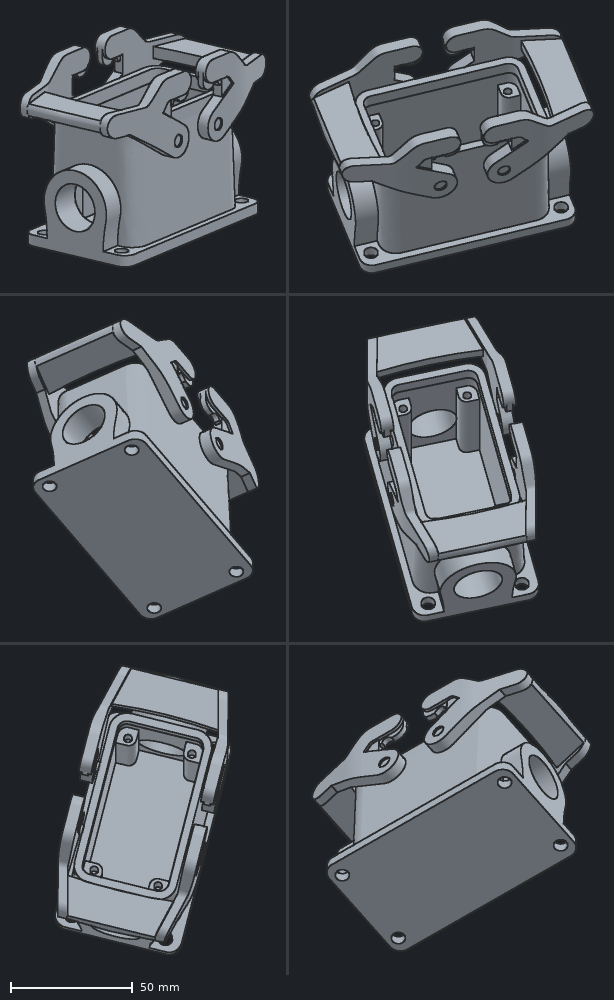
import cadquery as cq
import math

FLANGE_WIDTH = 53.5
FLANGE_LENGTH = 92.7
FLANGE_HEIGHT = 5.0
FLANGE_CORNER = 5.3
FLANGE_HOLE_DIAMETER = 5.7
FLANGE_HOLE_X = 19.8
FLANGE_HOLE_Y = 40.9

RIM_WIDTH = 43.1
FOOT_WIDTH = 47.2
WALL_LENGTH = 73.0
RIM_THICKNESS = 3.4
RIM_LEDGE = 0.1
WALL_CORNER = 7.4
RIM_START_Z = 51.4
RIM_TOP_Z = 57.2

ENTRY_Z = 21.0
ENTRY_RADIUS = 16.1
ENTRY_BORE = 20.4
ENTRY_FOOT_HALF_WIDTH = 14.4

POST_X = 13.5
POST_Y = 28.5
POST_INNER_X = 10.0
POST_INNER_Y = 25.5
POST_EDGE_RADIUS = 3.3
POST_TOP_Z = 45.2
POST_HOLE_DIAMETER = 3.3
POST_HOLE_DEPTH = 9.9

PIVOT_Y = 13.6
PIVOT_Z = 47.0
PIVOT_RADIUS = 7.2
PIVOT_RECESS_RADIUS = 2.6
PIVOT_RECESS_DEPTH = 0.8
PIN_RADIUS = 2.1
PIN_OVERRUN = 1.6
ARM_ANGLE = math.radians(32)

PLATE_OUTER_X = 28.5
PLATE_INNER_X = 23.2
BEND_START_Y = 25.2
BEND_END_Y = 34.3
INNER_BEND_Y = 34.1
BEND_ANGLE = math.radians(13.8)

LEVER_TOP_Z = 76.0
BAND_RADIUS = 5.1
HOOK_TIP_Y = 5.0
HOOK_BACK_Y = 23.6
HOOK_BACK_RADIUS = 7.9
NOTCH_TIP_Y = 24.0
NOTCH_TOP_Y = 20.6
NOTCH_RADIUS = 2.4
WEB_STEP = 1.0
LOBE_STEP = 1.3
SLOT_END_Y = 17.2
LOBE_BOTTOM_Z = 62.9
LOBE_RADIUS = 4.2
GROOVE_RADIUS = 2.0

GRIP_Z = 61.6
GRIP_ROOT_Y = 33.7
GRIP_ROOT_RADIUS = 3.6
ARM_TIP_Y = 54.2
BAR_THICKNESS = 5.2
BAR_INNER_Y = 37.0
BAR_INNER_BULGE = 1.2
BAR_TIP_Y = 55.0
BAR_CROWN_HALF_WIDTH = 18.7
BAR_EMBED = 1.1


def rounded_rectangle(width, length, radius):
    return cq.Sketch().rect(width, length).vertices().fillet(radius)


def make_walls():
    """Solid block of the walls, from the flange top to the rim top."""
    foot = rounded_rectangle(FOOT_WIDTH, WALL_LENGTH, WALL_CORNER)
    rim = rounded_rectangle(RIM_WIDTH, WALL_LENGTH, WALL_CORNER)
    taper_height = RIM_START_Z - FLANGE_HEIGHT
    tapered = (
        cq.Workplane("XY", origin=(0, 0, FLANGE_HEIGHT))
        .placeSketch(foot, rim.moved(cq.Location(cq.Vector(0, 0, taper_height))))
        .loft()
    )
    straight = (
        cq.Workplane("XY", origin=(0, 0, RIM_START_Z))
        .placeSketch(rim)
        .extrude(RIM_TOP_Z - RIM_START_Z)
    )
    return tapered.union(straight)


def cavity_section(inset, bottom_z, top_z):
    """Straight stretch of the cavity, inset from the outside of the rim."""
    section = rounded_rectangle(RIM_WIDTH - 2 * inset, WALL_LENGTH - 2 * inset, WALL_CORNER - inset)
    return (
        cq.Workplane("XY", origin=(0, 0, bottom_z))
        .placeSketch(section)
        .extrude(top_z - bottom_z)
    )


def make_cavity():
    """Open cavity with a small ledge where the rim starts."""
    lower = cavity_section(RIM_THICKNESS + RIM_LEDGE, FLANGE_HEIGHT, RIM_START_Z)
    upper = cavity_section(RIM_THICKNESS, RIM_START_Z, RIM_TOP_Z)
    return lower.union(upper)


def make_flange():
    flange = (
        cq.Workplane("XY")
        .placeSketch(rounded_rectangle(FLANGE_WIDTH, FLANGE_LENGTH, FLANGE_CORNER))
        .extrude(FLANGE_HEIGHT)
    )
    holes = (
        cq.Workplane("XY")
        .rect(2 * FLANGE_HOLE_X, 2 * FLANGE_HOLE_Y, forConstruction=True)
        .vertices()
        .circle(FLANGE_HOLE_DIAMETER / 2)
        .extrude(FLANGE_HEIGHT)
    )
    return flange.cut(holes)


def make_entries():
    """Round cable entries whose sides flow in a hollow arc down to the flange."""
    rise = ENTRY_Z - FLANGE_HEIGHT
    hollow_radius = (ENTRY_FOOT_HALF_WIDTH**2 + rise**2 - ENTRY_RADIUS**2) / (
        2 * (ENTRY_RADIUS - ENTRY_FOOT_HALF_WIDTH)
    )
    join_angle = math.asin(rise / (ENTRY_RADIUS + hollow_radius))
    join_x = ENTRY_RADIUS * math.cos(join_angle)
    join_z = ENTRY_Z - ENTRY_RADIUS * math.sin(join_angle)
    hollow_x = ENTRY_FOOT_HALF_WIDTH + hollow_radius * (1 - math.cos(join_angle / 2))
    hollow_z = FLANGE_HEIGHT + hollow_radius * math.sin(join_angle / 2)
    return (
        cq.Workplane("XZ")
        .moveTo(-ENTRY_FOOT_HALF_WIDTH, FLANGE_HEIGHT)
        .lineTo(ENTRY_FOOT_HALF_WIDTH, FLANGE_HEIGHT)
        .threePointArc((hollow_x, hollow_z), (join_x, join_z))
        .threePointArc((0, ENTRY_Z + ENTRY_RADIUS), (-join_x, join_z))
        .threePointArc((-hollow_x, hollow_z), (-ENTRY_FOOT_HALF_WIDTH, FLANGE_HEIGHT))
        .close()
        .extrude(FLANGE_LENGTH / 2, both=True)
    )


def make_posts(cavity):
    """Four screw posts, trimmed to the cavity so that they end on its walls."""
    post_width = FOOT_WIDTH / 2 - POST_INNER_X
    post_length = WALL_LENGTH / 2 - POST_INNER_Y
    posts = []
    for side_x in (-1, 1):
        for side_y in (-1, 1):
            post = (
                cq.Workplane("XY", origin=(0, 0, FLANGE_HEIGHT))
                .center(
                    side_x * (POST_INNER_X + post_width / 2),
                    side_y * (POST_INNER_Y + post_length / 2),
                )
                .rect(post_width, post_length)
                .extrude(POST_TOP_Z - FLANGE_HEIGHT)
                .edges(cq.NearestToPointSelector((0, 0, (FLANGE_HEIGHT + POST_TOP_Z) / 2)))
                .fillet(POST_EDGE_RADIUS)
            )
            hole = (
                cq.Workplane("XY", origin=(side_x * POST_X, side_y * POST_Y, POST_TOP_Z))
                .circle(POST_HOLE_DIAMETER / 2)
                .extrude(-POST_HOLE_DEPTH)
            )
            posts.append(post.cut(hole).intersect(cavity))
    return posts


def make_shell():
    cavity = make_cavity()
    entry_bore = (
        cq.Workplane("XZ", origin=(0, 0, ENTRY_Z))
        .circle(ENTRY_BORE / 2)
        .extrude(FLANGE_LENGTH, both=True)
    )
    shell = make_flange().union(make_walls()).union(make_entries())
    shell = shell.cut(cavity).cut(entry_bore)
    for post in make_posts(cavity):
        shell = shell.union(post)
    return shell


def arm_top_z(y):
    """Height of the arm's straight upper edge at a given Y."""
    edge_y = PIVOT_Y - PIVOT_RADIUS * math.sin(ARM_ANGLE)
    edge_z = PIVOT_Z + PIVOT_RADIUS * math.cos(ARM_ANGLE)
    return edge_z + (y - edge_y) * math.tan(ARM_ANGLE)


def side_profile():
    """Whole arm from pivot to grip and hook, as seen along X."""
    tangent_y = PIVOT_RADIUS * math.sin(ARM_ANGLE)
    tangent_z = PIVOT_RADIUS * math.cos(ARM_ANGLE)
    lower_tangent = (PIVOT_Y + tangent_y, PIVOT_Z - tangent_z)
    upper_tangent = (PIVOT_Y - tangent_y, PIVOT_Z + tangent_z)
    pivot_end = (
        PIVOT_Y - PIVOT_RADIUS * math.cos(ARM_ANGLE),
        PIVOT_Z - PIVOT_RADIUS * math.sin(ARM_ANGLE),
    )
    grip_bottom = GRIP_Z - BAND_RADIUS
    grip_top = GRIP_Z + BAND_RADIUS
    grip_end_y = ARM_TIP_Y - BAND_RADIUS
    under_grip_y = lower_tangent[0] + (grip_bottom - lower_tangent[1]) / math.tan(ARM_ANGLE)
    hook_center_y = HOOK_TIP_Y + BAND_RADIUS
    hook_bottom = LEVER_TOP_Z - 2 * BAND_RADIUS
    profile = (
        cq.Workplane("YZ")
        .moveTo(*lower_tangent)
        .lineTo(under_grip_y, grip_bottom)
        .lineTo(grip_end_y, grip_bottom)
        .threePointArc((ARM_TIP_Y, GRIP_Z), (grip_end_y, grip_top))
        .lineTo(GRIP_ROOT_Y, grip_top)
        .lineTo(HOOK_BACK_Y, LEVER_TOP_Z)
        .lineTo(hook_center_y, LEVER_TOP_Z)
        .threePointArc((HOOK_TIP_Y, LEVER_TOP_Z - BAND_RADIUS), (hook_center_y, hook_bottom))
        .lineTo(NOTCH_TOP_Y, hook_bottom)
        .lineTo(NOTCH_TIP_Y, arm_top_z(NOTCH_TIP_Y))
        .lineTo(*upper_tangent)
        .threePointArc(pivot_end, lower_tangent)
        .close()
        .extrude(PLATE_OUTER_X)
    )
    rounded_corners = (
        (GRIP_ROOT_Y, grip_top, GRIP_ROOT_RADIUS),
        (HOOK_BACK_Y, LEVER_TOP_Z, HOOK_BACK_RADIUS),
        (NOTCH_TOP_Y, hook_bottom, NOTCH_RADIUS),
    )
    for y, z, radius in rounded_corners:
        corner = cq.NearestToPointSelector((PLATE_OUTER_X / 2, y, z))
        profile = profile.edges(corner).fillet(radius)
    return profile


def slot_web():
    """Web behind the outer step that narrows the notch to a square-ended slot."""
    hook_center_z = LEVER_TOP_Z - BAND_RADIUS
    return (
        cq.Workplane("YZ")
        .moveTo(SLOT_END_Y, arm_top_z(SLOT_END_Y))
        .lineTo(SLOT_END_Y, hook_center_z)
        .lineTo(NOTCH_TIP_Y, hook_center_z)
        .lineTo(NOTCH_TIP_Y, arm_top_z(NOTCH_TIP_Y))
        .close()
        .extrude(PLATE_OUTER_X - WEB_STEP)
    )


def latch_lobe():
    """Grooved lobe under the hook, stepped back from both faces of the plate."""
    hook_center_z = LEVER_TOP_Z - BAND_RADIUS
    lobe_center_y = HOOK_TIP_Y + LOBE_RADIUS
    tangent_offset = GROOVE_RADIUS * math.sqrt(0.5)
    return (
        cq.Workplane("YZ", origin=(PLATE_INNER_X + LOBE_STEP, 0, 0))
        .moveTo(NOTCH_TOP_Y, hook_center_z)
        .lineTo(NOTCH_TOP_Y, LOBE_BOTTOM_Z)
        .lineTo(PIVOT_Y + GROOVE_RADIUS, LOBE_BOTTOM_Z)
        .threePointArc(
            (PIVOT_Y, LOBE_BOTTOM_Z + GROOVE_RADIUS),
            (PIVOT_Y - tangent_offset, LOBE_BOTTOM_Z + tangent_offset),
        )
        .lineTo(PIVOT_Y - 2 * tangent_offset, LOBE_BOTTOM_Z)
        .lineTo(lobe_center_y, LOBE_BOTTOM_Z)
        .tangentArcPoint((HOOK_TIP_Y, LOBE_BOTTOM_Z + LOBE_RADIUS), relative=False)
        .lineTo(HOOK_TIP_Y, hook_center_z)
        .close()
        .extrude(PLATE_OUTER_X - PLATE_INNER_X - 2 * LOBE_STEP)
    )


def arm_inner_x(y):
    """X of the slanted inner face of the arm, beyond its bend."""
    return PLATE_INNER_X - (y - INNER_BEND_Y) * math.tan(BEND_ANGLE)


def plan_profile():
    """Plate that runs straight along the hook, then bends inward towards the grip."""
    bend_end_x = PLATE_OUTER_X - (BEND_END_Y - BEND_START_Y) * math.tan(BEND_ANGLE / 2)
    outer_end_x = bend_end_x - (ARM_TIP_Y - BEND_END_Y) * math.tan(BEND_ANGLE)
    return (
        cq.Workplane("XY")
        .moveTo(PLATE_INNER_X, 0)
        .lineTo(PLATE_OUTER_X, 0)
        .lineTo(PLATE_OUTER_X, BEND_START_Y)
        .tangentArcPoint((bend_end_x, BEND_END_Y), relative=False)
        .lineTo(outer_end_x, ARM_TIP_Y)
        .lineTo(arm_inner_x(ARM_TIP_Y), ARM_TIP_Y)
        .lineTo(PLATE_INNER_X, INNER_BEND_Y)
        .close()
        .extrude(LEVER_TOP_Z)
    )


def make_arm():
    """The +X arm, with its pivot pin reaching inward to the housing."""
    arm = side_profile().union(slot_web()).union(latch_lobe()).intersect(plan_profile())
    pin_end_x = RIM_WIDTH / 2 - PIN_OVERRUN
    pin = (
        cq.Workplane("YZ", origin=(pin_end_x, PIVOT_Y, PIVOT_Z))
        .circle(PIN_RADIUS)
        .extrude(PLATE_INNER_X - pin_end_x)
    )
    recess = (
        cq.Workplane("YZ", origin=(PLATE_OUTER_X, PIVOT_Y, PIVOT_Z))
        .circle(PIVOT_RECESS_RADIUS)
        .extrude(-PIVOT_RECESS_DEPTH)
    )
    return arm.union(pin).cut(recess)


def make_bar():
    """Grip bar between the arms: bowed inner edge and a rounded, crowned outer edge."""
    half_thickness = BAR_THICKNESS / 2
    flat_end_y = ARM_TIP_Y - BAND_RADIUS + math.sqrt(BAND_RADIUS**2 - half_thickness**2)
    inner_x = arm_inner_x(BAR_INNER_Y) + BAR_EMBED
    outer_x = arm_inner_x(flat_end_y) + BAR_EMBED
    slab = (
        cq.Workplane("XY", origin=(0, 0, GRIP_Z - half_thickness))
        .moveTo(-inner_x, BAR_INNER_Y)
        .threePointArc((0, BAR_INNER_Y + BAR_INNER_BULGE), (inner_x, BAR_INNER_Y))
        .lineTo(outer_x, flat_end_y)
        .lineTo(-outer_x, flat_end_y)
        .close()
        .extrude(BAR_THICKNESS)
    )
    crown_sections = []
    for x, tip_y in (
        (-BAR_CROWN_HALF_WIDTH, ARM_TIP_Y),
        (0, BAR_TIP_Y),
        (BAR_CROWN_HALF_WIDTH, ARM_TIP_Y),
    ):
        section = (
            cq.Workplane("YZ", origin=(x, 0, GRIP_Z))
            .moveTo(flat_end_y, -half_thickness)
            .threePointArc((tip_y, 0), (flat_end_y, half_thickness))
            .close()
        )
        crown_sections.append(section.val())
    crown = cq.Solid.makeLoft(crown_sections)
    return slab.union(cq.Workplane(crown))


def make_lever():
    """Lever on the +Y end; its pins still run into the housing wall."""
    arm = make_arm()
    return make_bar().union(arm).union(arm.mirror("YZ"))


shell = make_shell()
lever = make_lever()

housing = shell.union(lever.mirror("XZ"))

loose_lever = lever.cut(shell)

result = cq.Compound.makeCompound([housing.val(), loose_lever.val()])